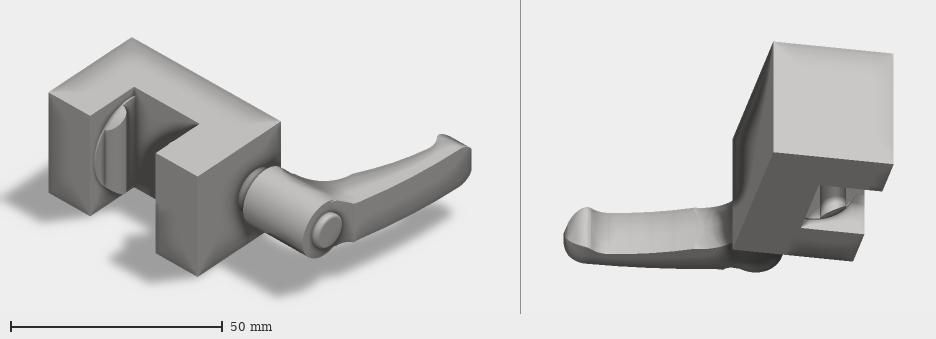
import cadquery as cq
import math

block_length = 48.0
block_depth = 29.05
block_height = 30.0
slot_width = 21.1
slot_depth = 15.3
slot_left = (block_length - slot_width) / 2
slot_right = slot_left + slot_width

pad_radius = 12.5
pad_y = 13.7
pad_projection = 0.5
ridge_radius = 3.1
ridge_projection = 3.4
ridge_y = 7.65

axis_y = 19.7
collar_radius = 5.9
collar_length = 3.5
collar_chamfer = 0.3
hub_radius = 7.65
hub_length = 19.1
stub_radius = 4.5
stub_length = 1.9
stub_fillet = 0.8
hub_start = block_length + collar_length
hub_end = hub_start + hub_length

total_length = 78.1
total_depth = 64.0
arm_thickness = 11.2
arm_half = arm_thickness / 2
tip_center_y = total_depth - arm_half
root_fillet = 10.15
arm_start = 56.2
throat_radius = 9.7
throat_end_angle = math.radians(-25)
throat_rounding = 8.6
throat_sweep = math.radians(60)
throat_sections = 4
throat_center_y = axis_y + hub_radius + throat_radius


def cylinder_x(x, y, radius, length):
    """Cylinder along +X, starting at x."""
    return cq.Workplane("YZ", origin=(x, y, 0)).circle(radius).extrude(length)


def make_pad(wall_x, direction):
    """Pad boss and ridge on a slot wall; direction is +1 or -1 along X."""
    ridge_x = wall_x + direction * (ridge_projection - ridge_radius)
    boss = cylinder_x(wall_x, pad_y, pad_radius, direction * pad_projection)
    ridge = (
        cq.Workplane("XY", origin=(ridge_x, ridge_y, -block_height / 2))
        .circle(ridge_radius)
        .extrude(block_height)
    )
    ridge_limit = cylinder_x(wall_x, pad_y, pad_radius, direction * ridge_projection)
    return boss.union(ridge.intersect(ridge_limit))


def make_housing():
    block = (
        cq.Workplane("XY")
        .box(block_length, block_depth, block_height, centered=(False, False, True))
    )
    slot = (
        cq.Workplane("XY", origin=(slot_left, 0, 0))
        .box(slot_width, slot_depth, block_height, centered=(False, False, True))
    )
    housing = block.cut(slot)
    for wall_x, direction in ((slot_left, 1), (slot_right, -1)):
        housing = housing.union(make_pad(wall_x, direction))
    return housing


def make_hub():
    collar = (
        cylinder_x(block_length, axis_y, collar_radius, collar_length)
        .faces("<X").chamfer(collar_chamfer)
    )
    barrel = cylinder_x(hub_start, axis_y, hub_radius, hub_length)
    stub = (
        cylinder_x(hub_end, axis_y, stub_radius, stub_length)
        .faces(">X").edges().fillet(stub_fillet)
    )
    return collar.union(barrel).union(stub)


def make_arm_section():
    """Arm cross-section in YZ, run along X: flat arm, round tip, filleted root."""
    fillet_z = arm_half + root_fillet
    center_distance = hub_radius + root_fillet
    fillet_rise = math.sqrt(center_distance**2 - fillet_z**2)
    flat_y = axis_y + fillet_rise
    hub_y = axis_y + fillet_rise * hub_radius / center_distance
    hub_z = fillet_z * hub_radius / center_distance
    tangent_angle = math.atan2(fillet_z, fillet_rise)
    middle_angle = (tangent_angle + math.pi / 2) / 2
    middle_y = flat_y - root_fillet * math.cos(middle_angle)
    middle_z = fillet_z - root_fillet * math.sin(middle_angle)
    return (
        cq.Workplane("YZ", origin=(arm_start, 0, 0))
        .moveTo(hub_y, hub_z)
        .threePointArc((middle_y, middle_z), (flat_y, arm_half))
        .lineTo(tip_center_y, arm_half)
        .threePointArc((total_depth, 0), (tip_center_y, -arm_half))
        .lineTo(flat_y, -arm_half)
        .threePointArc((middle_y, -middle_z), (hub_y, -hub_z))
        .lineTo(axis_y, -hub_z)
        .lineTo(axis_y, hub_z)
        .close()
        .extrude(total_length - arm_start)
    )


def make_arm_outline():
    """Curved outline of the arm in XY, thick enough to cover the whole section."""
    half_angle = (throat_end_angle - math.pi / 2) / 2

    def throat_point(angle):
        x = arm_start + throat_radius * math.cos(angle)
        y = throat_center_y + throat_radius * math.sin(angle)
        return (x, y)

    return (
        cq.Workplane("XY", origin=(0, 0, -hub_radius))
        .moveTo(arm_start, axis_y)
        .lineTo(arm_start, axis_y + hub_radius)
        .threePointArc(throat_point(half_angle), throat_point(throat_end_angle))
        .threePointArc((69.7, 43.4), (72.45, 54.0))
        .threePointArc((72.15, 56.5), (70.9, 58.55))
        .spline([(70.5, 60.1), (71.45, 61.9), (73.2, 63.4), (75.6, total_depth)], includeCurrent=True)
        .threePointArc((77.4, 63.6), (total_length, 62.15))
        .lineTo(total_length, 58.55)
        .threePointArc((77.3, 45.3), (74.6, 28.2))
        .lineTo(74.2, 26.1)
        .threePointArc((71.8, 24.4), (hub_end, 21.6))
        .lineTo(hub_end, axis_y)
        .close()
        .extrude(2 * hub_radius)
    )


def make_throat_cutter():
    """Throat circle carried round an arc, so the throat is rounded across its thickness."""
    sections = []
    for step in range(-throat_sections, throat_sections + 1):
        z = throat_rounding * math.sin(step * throat_sweep / throat_sections)
        sag = throat_rounding - math.sqrt(throat_rounding**2 - z**2)
        center = cq.Vector(arm_start, throat_center_y - sag, z)
        circle = cq.Edge.makeCircle(throat_radius, center, cq.Vector(0, 0, 1))
        sections.append(cq.Wire.assembleEdges([circle]))
    return cq.Workplane(cq.Solid.makeLoft(sections))


def make_lever():
    arm = make_arm_section().intersect(make_arm_outline()).cut(make_throat_cutter())
    return make_hub().union(arm)


housing = make_housing()
lever = make_lever()
result = cq.Compound.makeCompound([housing.val(), lever.val()])